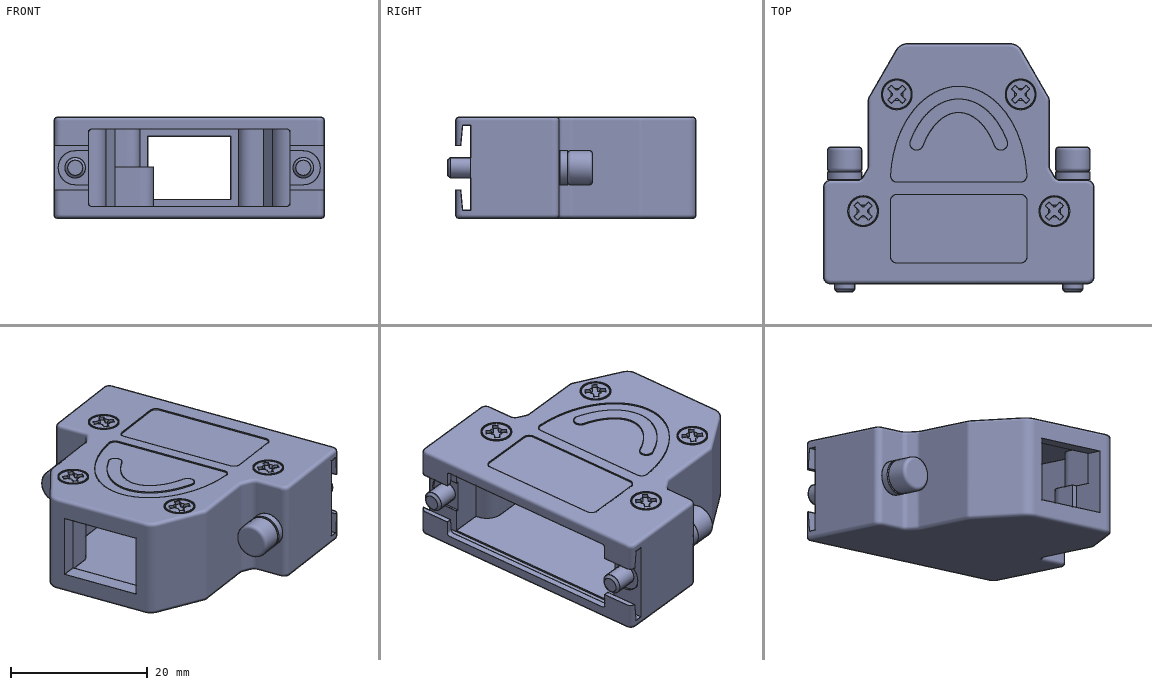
import cadquery as cq
import math

width = 39.5
height = 14.8
depth = 35.1
half_height = height / 2

shoulder_y = 15.13
neck_half_width = 13.25
neck_front_y = 16.95
neck_back_y = 27.05
slope = math.radians(60)
base_radius = 1.0
back_radius = 2 * base_radius
rim_radius = 0.5

wall = 2.37
cavity_half_height = 5.95
mouth_half_width = 14.7
mouth_half_height = 5.65
mouth_radius = 0.45
window_width = 12.13
window_height = 9.2

slot_back_y = 2.17
slot_half_height = 6.2
lip_thick = 1.03
lip_thin = 0.75
ear_gap_half_height = 3.25

thumbscrew_x = 16.65
shaft_radius = 1.5
tip_protrusion = 1.2
tip_chamfer = 0.4
knob_radius = 2.53
knob_length = 3.65
knob_rounding = 0.5
washer_gap = 0.1
washer_thickness = 1.1
ear_recess_radius = 2.5
ear_recess_depth = 0.3

front_screw = (14.0, 10.63)
back_screw = (9.05, 27.7)
screw_radius = 2.25
screw_gap_width = 0.15
screw_gap_depth = 0.1
cross_reach = 1.5
cross_arm_width = 0.75
cross_core_width = 1.25
cross_depth = 0.5
cross_taper = 25

front_post_radius = 2.53
front_post_y = 9.3
back_post_radius = 1.85

low_post_x = 7.25
low_post_radius = 2.05
low_post_top_z = 0.1

panel_depth = 0.2
panel_width = 20.0
panel_radius = 1.0
label_front_y = 3.05
label_length = 10.05
dome_front_y = 14.85
dome_rise = 14.02
band_inset = 2.85
band_half_width = 1.0
band_end_angle = math.radians(30.5)


def box_between(x0, x1, y0, y1, z0, z1):
    """A box given by its limits along each axis."""
    return cq.Workplane("XY").box(x1 - x0, y1 - y0, z1 - z0, centered=False).translate((x0, y0, z0))


def both_sides(solid):
    """The solid together with its mirror image across the YZ plane."""
    return solid.union(solid.mirror("YZ"))


def turned(radius, y, length):
    """Cylinder on the right-hand thumbscrew axis, running backwards from y."""
    return cq.Workplane("XZ", origin=(thumbscrew_x, y, 0)).circle(radius).extrude(-length)


def shell_outline():
    """Sharp-cornered outline of the shell on the XY plane."""
    shoulder_x = neck_half_width + (neck_front_y - shoulder_y) / math.tan(slope)
    back_x = neck_half_width - (depth - neck_back_y) / math.tan(slope)
    right_side = [
        (width / 2, 0),
        (width / 2, shoulder_y),
        (shoulder_x, shoulder_y),
        (neck_half_width, neck_front_y),
        (neck_half_width, neck_back_y),
        (back_x, depth),
    ]
    left_side = [(-x, y) for x, y in reversed(right_side)]
    return cq.Workplane("XY").polyline(right_side + left_side).close()


def shell_body():
    """Solid shell with rounded upright corners and rounded top and bottom rims."""
    body = shell_outline().extrude(half_height, both=True)
    body = body.edges("|Z").edges(">Y").fillet(back_radius)
    back_start_y = depth - 2 * back_radius
    upright = body.edges("|Z").filter(lambda edge: edge.Center().y < back_start_y)
    body = upright.fillet(base_radius)
    return body.faces(">Z or <Z").edges().fillet(rim_radius)


def cavity_post(x, y, radius, end_y, top_z):
    """Post on the cavity floor: rounded front corner, then straight to the side wall and the wall behind."""
    bottom_z = -cavity_half_height
    corner = cq.Workplane("XY", origin=(x, y, bottom_z)).circle(radius).extrude(top_z - bottom_z)
    web = box_between(x, width / 2, y - radius, end_y, bottom_z, top_z)
    tail = box_between(x - radius, width / 2, y, end_y, bottom_z, top_z)
    return corner.union(web).union(tail)


def cavity():
    """Hollow that follows the outline at wall thickness, less the posts, with a smaller mouth."""
    hollow = shell_outline().offset2D(-wall, "intersection").extrude(cavity_half_height, both=True)
    between_ears = cq.Workplane("XY").box(2 * mouth_half_width, 2 * depth, height)
    hollow = hollow.intersect(between_ears)
    entrance = box_between(
        -mouth_half_width, mouth_half_width, slot_back_y, 2 * wall, -cavity_half_height, cavity_half_height
    )
    mouth = (
        cq.Workplane("XZ")
        .rect(2 * mouth_half_width, 2 * mouth_half_height)
        .extrude(-slot_back_y)
        .edges("|Y")
        .fillet(mouth_radius)
    )

    full = cavity_half_height
    front_post = cavity_post(mouth_half_width, front_post_y, front_post_radius, shoulder_y, full)
    back_post = cavity_post(*back_screw, back_post_radius, depth, full)
    low_post = cavity_post(low_post_x, back_screw[1], low_post_radius, depth, low_post_top_z)
    posts = both_sides(front_post.union(back_post)).union(low_post.mirror("YZ"))
    return hollow.union(entrance).cut(posts).union(mouth)


def cable_window():
    """Rectangular opening through the back wall."""
    back_wall = cq.Workplane("XZ", origin=(0, depth - 2 * wall, 0))
    return back_wall.rect(window_width, window_height).extrude(-3 * wall)


def flange_slot():
    """Full-width slot behind the lip, with the lip tapering towards the ear gaps."""
    half_profile = [
        (0, 0),
        (0, ear_gap_half_height),
        (lip_thin, ear_gap_half_height),
        (lip_thick, slot_half_height),
        (slot_back_y, slot_half_height),
        (slot_back_y, 0),
    ]
    upper = cq.Workplane("YZ").polyline(half_profile).close().extrude(width, both=True)
    return upper.union(upper.mirror("XY"))


def ear_recess():
    """Shallow U-shaped recess around the shaft, open to the cavity."""
    round_end = turned(ear_recess_radius, slot_back_y, ear_recess_depth)
    channel = box_between(
        mouth_half_width,
        thumbscrew_x,
        slot_back_y,
        slot_back_y + ear_recess_depth,
        -ear_recess_radius,
        ear_recess_radius,
    )
    return both_sides(round_end.union(channel))


def thumbscrews():
    """Both thumbscrews: shaft with a chamfered tip, washer and rounded knob."""
    washer_y = shoulder_y + washer_gap
    knob_y = washer_y + washer_thickness
    shaft = turned(shaft_radius, -tip_protrusion, tip_protrusion + knob_y)
    shaft = shaft.faces("<Y").chamfer(tip_chamfer)
    washer = turned(knob_radius, washer_y, washer_thickness)
    knob = turned(knob_radius, knob_y, knob_length).edges().fillet(knob_rounding)
    return both_sides(shaft.union(washer).union(knob))


def cover_screw_marks():
    """Ring gap and cross recess of each cover screw."""
    top = cq.Workplane("XY", origin=(0, 0, half_height))
    gap = top.circle(screw_radius).circle(screw_radius - screw_gap_width).extrude(-screw_gap_depth)
    recess_floor = top.workplane(offset=-cross_depth)
    core = recess_floor.rect(cross_core_width, cross_core_width).extrude(cross_depth, taper=-cross_taper)
    mark = gap.union(core)
    for angle in (45, 135):
        arm = top.transformed(rotate=(0, 0, angle)).rect(2 * cross_reach, cross_arm_width)
        mark = mark.union(arm.extrude(-cross_depth))
    right = mark.translate((*front_screw, 0)).union(mark.translate((*back_screw, 0)))
    return both_sides(right)


def label_panel():
    """Rounded rectangular recess at the front of the top face."""
    return (
        cq.Workplane("XY", origin=(0, label_front_y + label_length / 2, half_height))
        .rect(panel_width, label_length)
        .extrude(-panel_depth)
        .edges("|Z")
        .fillet(panel_radius)
    )


def band_point(angle, offset):
    """Point at a distance outside the middle ellipse of the band."""
    a = panel_width / 2 - band_inset
    b = dome_rise - band_inset
    normal = (b * math.cos(angle), a * math.sin(angle))
    length = math.hypot(*normal)
    x = a * math.cos(angle) + offset * normal[0] / length
    y = dome_front_y + b * math.sin(angle) + offset * normal[1] / length
    return x, y


def raised_band():
    """Arched band with round ends, left standing in the dome panel."""
    steps = 12
    sweep = math.pi - 2 * band_end_angle
    angles = [band_end_angle + sweep * i / steps for i in range(steps + 1)]
    outer = [band_point(angle, band_half_width) for angle in angles]
    inner = [band_point(angle, -band_half_width) for angle in reversed(angles)]
    end_x, end_y = band_point(band_end_angle, 0)
    tangent = math.atan2(outer[0][1] - end_y, outer[0][0] - end_x) - math.pi / 2
    cap_x = end_x + band_half_width * math.cos(tangent)
    cap_y = end_y + band_half_width * math.sin(tangent)
    return (
        cq.Workplane("XY", origin=(0, 0, half_height))
        .moveTo(*outer[0])
        .spline(outer[1:], includeCurrent=True)
        .threePointArc((-cap_x, cap_y), inner[0])
        .spline(inner[1:], includeCurrent=True)
        .threePointArc((cap_x, cap_y), outer[0])
        .close()
        .extrude(-panel_depth)
    )


def dome_panel():
    """Half-ellipse recess behind the label, around the raised band."""
    dome = (
        cq.Workplane("XY", origin=(0, dome_front_y, half_height))
        .moveTo(panel_width / 2, 0)
        .ellipseArc(panel_width / 2, dome_rise, 0, 180, startAtCurrent=True)
        .close()
        .extrude(-panel_depth)
    )
    dome = dome.edges("|Z").fillet(panel_radius)
    return dome.cut(raised_band())


result = shell_body()
for opening in (cavity(), cable_window(), flange_slot(), ear_recess()):
    result = result.cut(opening)
result = result.union(thumbscrews())
for mark in (cover_screw_marks(), label_panel(), dome_panel()):
    result = result.cut(mark)